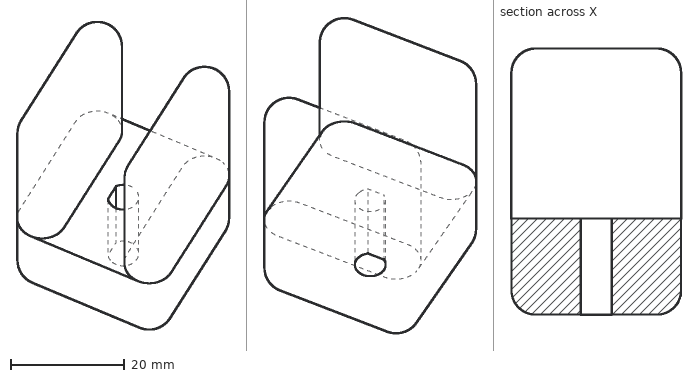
import cadquery as cq
import math

side = 30.0
total_height = 47.0
base_height = 17.0
plate_thickness = 8.75
bore_diameter = 5.4
bore_flat_offset = 2.2

edge_radius = plate_thickness / 2
core_length = side - plate_thickness
core_height = total_height - base_height - edge_radius
plate_offset = (side - plate_thickness) / 2
bore_flat_half = math.sqrt((bore_diameter / 2) ** 2 - bore_flat_offset ** 2)


def make_base():
    """Square block with rounded corners and underside, and a D-shaped through bore."""
    block = (
        cq.Workplane("XY")
        .box(side, side, base_height, centered=(True, True, False))
        .edges("|Z or <Z")
        .fillet(edge_radius)
    )
    bore = (
        cq.Workplane("XY")
        .moveTo(-bore_flat_offset, -bore_flat_half)
        .threePointArc((bore_diameter / 2, 0), (-bore_flat_offset, bore_flat_half))
        .close()
        .extrude(base_height)
    )
    return block.cut(bore).solids()


def make_plate(x_center):
    """Upright plate with fully rounded ends and top, and ball-shaped upper corners."""
    body = (
        cq.Workplane("XY")
        .slot2D(side, plate_thickness, 90)
        .extrude(core_height)
    )
    top_round = (
        cq.Workplane("XZ", origin=(0, core_length / 2, 0))
        .center(0, core_height)
        .circle(edge_radius)
        .extrude(core_length)
    )
    corner_balls = (
        cq.Workplane("XY", origin=(0, 0, core_height))
        .pushPoints([(0, -core_length / 2), (0, core_length / 2)])
        .sphere(edge_radius)
    )
    plate = body.union(top_round).union(corner_balls)
    return plate.translate((x_center, 0, base_height)).solids()


base = make_base()
plates = [make_plate(direction * plate_offset) for direction in (-1, 1)]

result = cq.Compound.makeCompound([base.val(), *[plate.val() for plate in plates]])